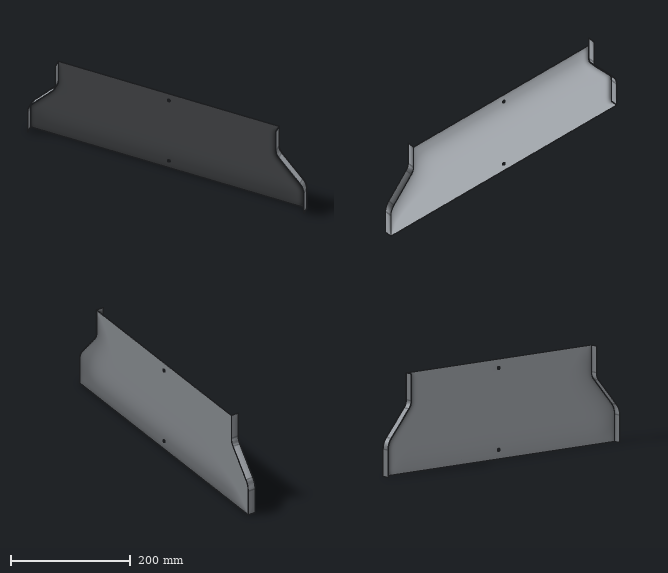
import cadquery as cq

length = 502.0
height = 170.0
depth = 14.0
sheet = 0.8

side_step = 50.0
lower_corner_z = 57.5
upper_corner_z = 117.5
lower_radius = 30.0
upper_radius = 20.0

hole_diameter = 5.0
hole_edge_distance = 15.5

half_bottom = length / 2
half_top = half_bottom - side_step


def rounded_blank():
    """Full-depth solid with the panel outline and rounded side corners."""
    outline = [
        (-half_bottom, 0),
        (half_bottom, 0),
        (half_bottom, lower_corner_z),
        (half_top, upper_corner_z),
        (half_top, height),
        (-half_top, height),
        (-half_top, upper_corner_z),
        (-half_bottom, lower_corner_z),
    ]
    blank = cq.Workplane("XZ").polyline(outline).close().extrude(depth)
    for x, z, radius in (
        (half_bottom, lower_corner_z, lower_radius),
        (half_top, upper_corner_z, upper_radius),
    ):
        for side in (-1, 1):
            corner = cq.selectors.NearestToPointSelector((side * x, -depth / 2, z))
            blank = blank.edges("|Y").edges(corner).fillet(radius)
    return blank


def folded_tray():
    """Hollow the blank, leaving the back panel and side flanges; front, top and bottom are open."""
    return rounded_blank().faces("<Y or >Z or <Z").shell(-sheet)


def panel_holes():
    """Cutters for the upper and lower holes through the panel."""
    centres = [(0, hole_edge_distance), (0, height - hole_edge_distance)]
    return cq.Workplane("XZ").pushPoints(centres).circle(hole_diameter / 2).extrude(depth)


result = folded_tray().cut(panel_holes())